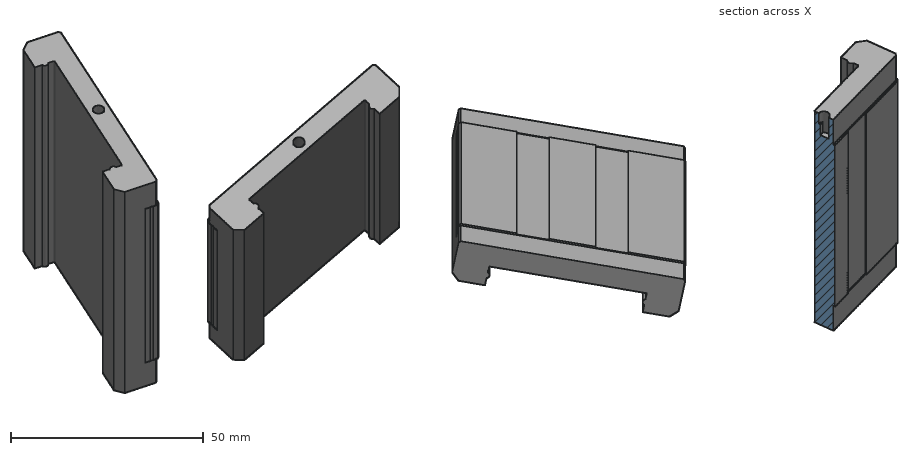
import cadquery as cq
import math

length = 74.7
total_width = 60.0
total_depth = 12.0

cover_side_step = 0.1
cover_back_step = 0.5
body_width = total_width - 2 * cover_side_step
body_depth = total_depth - cover_back_step
front_chamfer = 2.1
back_chamfer = 0.5

channel_width = 41.6
channel_depth = 5.6
channel_fillet = 0.2
bead_radius = 1.0
bead_height = 0.6
bead_from_front = 3

cover_length = 57.1
cover_wrap = 4.0
cover_chamfer = 0.5
back_groove_inner = 6.1
back_groove_outer = 14.7
back_groove_depth = 0.3
side_groove_width = 0.8
side_groove_depth = 0.15
side_groove_from_back = 2.25

hole_diameter = 3
hole_depth = 7.5
round_depth = 3.7
flat_offset = 1.05

web_center = (channel_depth + body_depth) / 2
cover_start = (length - cover_length) / 2


def make_body():
    """Chamfered block with the channel cut along its full length."""
    block = (
        cq.Workplane("XY")
        .rect(body_width, body_depth)
        .extrude(length)
        .translate((0, body_depth / 2, 0))
    )
    block = block.faces("<Y").edges("|Z").chamfer(front_chamfer)
    block = block.faces(">Y").edges("|Z").chamfer(back_chamfer)
    channel = (
        cq.Workplane("XY")
        .rect(channel_width, channel_depth)
        .extrude(length)
        .translate((0, channel_depth / 2, 0))
        .faces(">Y")
        .edges("|Z")
        .fillet(channel_fillet)
    )
    return block.cut(channel)


def make_bead(side):
    """Round bead partly sunk into the channel wall on the given side."""
    bead_x = channel_width / 2 + bead_radius - bead_height
    return (
        cq.Workplane("XY")
        .center(side * bead_x, bead_from_front)
        .circle(bead_radius)
        .extrude(length)
    )


def make_cover():
    """Pad around the back of the body, with two wide grooves on its back."""
    cover = (
        cq.Workplane("XY")
        .rect(total_width, cover_wrap)
        .extrude(cover_length)
        .translate((0, total_depth - cover_wrap / 2, cover_start))
        .faces(">Y")
        .edges("|Z")
        .chamfer(cover_chamfer)
    )
    groove_width = back_groove_outer - back_groove_inner
    groove_x = (back_groove_outer + back_groove_inner) / 2
    for side in (-1, 1):
        back_groove = (
            cq.Workplane("XY")
            .rect(groove_width, 2 * back_groove_depth)
            .extrude(length)
            .translate((side * groove_x, total_depth, 0))
        )
        cover = cover.cut(back_groove)
    return cover


def make_side_groove(side):
    """Shallow round groove along the cover's side, as long as the cover."""
    half_width = side_groove_width / 2
    arc_radius = (half_width**2 + side_groove_depth**2) / (2 * side_groove_depth)
    arc_x = total_width / 2 + arc_radius - side_groove_depth
    return (
        cq.Workplane("XY", origin=(0, 0, cover_start))
        .center(side * arc_x, total_depth - side_groove_from_back)
        .circle(arc_radius)
        .extrude(cover_length)
    )


def make_hole():
    """Round mouth that continues as a D shape with its flat towards -Y."""
    radius = hole_diameter / 2
    half_chord = math.sqrt(radius**2 - flat_offset**2)
    mouth = cq.Workplane("XY").circle(radius).extrude(-round_depth)
    lower = (
        cq.Workplane("XY")
        .moveTo(-half_chord, -flat_offset)
        .lineTo(half_chord, -flat_offset)
        .threePointArc((0, radius), (-half_chord, -flat_offset))
        .close()
        .extrude(-hole_depth)
    )
    return mouth.union(lower).translate((0, web_center, length))


result = make_body().union(make_cover())
for wall_side in (-1, 1):
    result = result.union(make_bead(wall_side)).cut(make_side_groove(wall_side))
result = result.cut(make_hole())